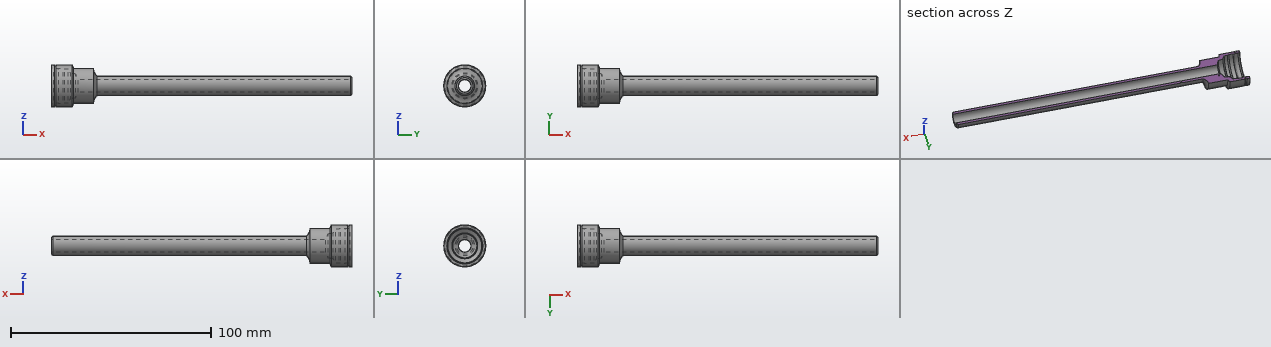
import cadquery as cq

total_length = 150.0
collar_end = 10.4
neck_start = 11.1
neck_end = 21.0
stem_start = 22.8

collar_diameter = 21.0
neck_diameter = 17.5
stem_diameter = 9.8

shoulder_hollow = 0.5
tip_chamfer = 0.8

ring_groove_start = 1.5
ring_groove_width = 0.9
ring_groove_diameter = 20.0

mouth_diameter = 18.0
mouth_chamfer_length = 1.0
entry_diameter = 17.2
lip_start = 3.0
lip_end = 3.6
socket_diameter = 17.0
relief_diameter = 17.5
relief_taper_start = 5.7
relief_taper_end = 6.6
socket_end = 8.2

seat_mouth_diameter = 12.9
seat_end_diameter = 12.0
seat_start = 9.5
seat_end = 12.0
bore_start = 13.2
bore_diameter = 6.2


def revolve_about_x(half_profile):
    """Revolve a closed half profile about the X axis."""
    return half_profile.close().revolve(360, (0, 0, 0), (1, 0, 0))


def profile_points(stations):
    """Turn (position, diameter) pairs into points of a half profile."""
    return [(position, diameter / 2) for position, diameter in stations]


def make_body():
    """Solid collar, neck and stem with the ring groove and end chamfers."""
    ring_groove_end = ring_groove_start + ring_groove_width
    head_stations = [
        (0, 0),
        (0, collar_diameter),
        (ring_groove_start, collar_diameter),
        (ring_groove_start, ring_groove_diameter),
        (ring_groove_end, ring_groove_diameter),
        (ring_groove_end, collar_diameter),
        (collar_end, collar_diameter),
        (neck_start, neck_diameter),
        (neck_end, neck_diameter),
    ]
    half_profile = (
        cq.Workplane("XY")
        .polyline(profile_points(head_stations))
        .sagittaArc((stem_start, stem_diameter / 2), -shoulder_hollow)
        .lineTo(total_length - tip_chamfer, stem_diameter / 2)
        .lineTo(total_length, stem_diameter / 2 - tip_chamfer)
        .lineTo(total_length, 0)
    )
    return revolve_about_x(half_profile)


def make_bore():
    """Stepped cavity from the open mouth through to the stem tip."""
    bore_stations = [
        (0, 0),
        (0, mouth_diameter),
        (mouth_chamfer_length, entry_diameter),
        (lip_start, entry_diameter),
        (lip_end, socket_diameter),
        (lip_end, relief_diameter),
        (relief_taper_start, relief_diameter),
        (relief_taper_end, socket_diameter),
        (socket_end, socket_diameter),
        (seat_start, seat_mouth_diameter),
        (seat_end, seat_end_diameter),
        (bore_start, bore_diameter),
        (total_length, bore_diameter),
        (total_length, 0),
    ]
    return revolve_about_x(cq.Workplane("XY").polyline(profile_points(bore_stations)))


result = make_body().cut(make_bore())